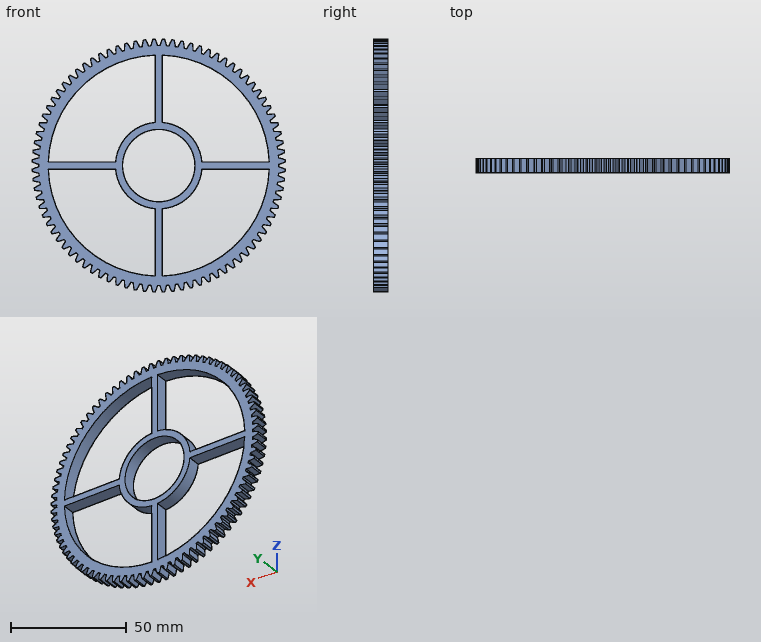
import cadquery as cq
import math

overall_size = 109.2
thickness = 6.3
tooth_count = 84
pressure_angle = math.radians(20)
addendum = 1.0
dedendum = 1.2
bore_diameter = 31.1
hub_diameter = 37.5
rim_inner_diameter = 95.2
spoke_count = 4
flank_steps = 4

spoke_width = (hub_diameter - bore_diameter) / 2


def involute(angle):
    """Polar angle swept by an involute up to a given pressure angle."""
    return math.tan(angle) - angle


def tooth_half_angle(radius_ratio):
    """Half the angle a tooth spans at a radius given as a multiple of the pitch radius."""
    local_pressure_angle = math.acos(math.cos(pressure_angle) / radius_ratio)
    pitch_half_angle = math.pi / (2 * tooth_count)
    return pitch_half_angle + involute(pressure_angle) - involute(local_pressure_angle)


pitch_angle = 2 * math.pi / tooth_count
tip_ratio = (tooth_count + 2 * addendum) / tooth_count
tip_corner_angle = pitch_angle / 2 - tooth_half_angle(tip_ratio)
tip_radius = overall_size / 2 / math.cos(tip_corner_angle)
pitch_radius = tip_radius / tip_ratio
module = 2 * pitch_radius / tooth_count
root_radius = pitch_radius - dedendum * module


def polar(radius, angle):
    """Point in the gear plane at a radius and an angle from the X axis."""
    return (radius * math.cos(angle), radius * math.sin(angle))


def flank_points(tooth_angle, side):
    """Points up one involute flank from root to tip; side is -1 or +1."""
    points = []
    for step in range(flank_steps + 1):
        radius = root_radius + (tip_radius - root_radius) * step / flank_steps
        half_angle = tooth_half_angle(radius / pitch_radius)
        points.append(polar(radius, tooth_angle + side * half_angle))
    return points


def face_plane():
    """Sketch plane on the -Y face; a negative extrusion runs toward +Y."""
    return cq.Workplane("XZ", origin=(0, -thickness / 2, 0))


def disc(diameter):
    return face_plane().circle(diameter / 2).extrude(-thickness)


def gear_blank():
    """Solid disc with involute teeth around its edge."""
    first_tooth_angle = pitch_angle / 2
    outline = face_plane().moveTo(*flank_points(first_tooth_angle, -1)[0])
    for tooth in range(tooth_count):
        tooth_angle = first_tooth_angle + tooth * pitch_angle
        rising = flank_points(tooth_angle, -1)
        falling = flank_points(tooth_angle, 1)[::-1]
        outline = outline.spline(rising[1:], includeCurrent=True)
        outline = outline.threePointArc(polar(tip_radius, tooth_angle), falling[0])
        outline = outline.spline(falling[1:], includeCurrent=True)
        next_root = flank_points(tooth_angle + pitch_angle, -1)[0]
        gap_angle = tooth_angle + pitch_angle / 2
        outline = outline.threePointArc(polar(root_radius, gap_angle), next_root)
    return outline.close().extrude(-thickness)


def spokes():
    """Bars from the centre, running into the middle of the rim wall."""
    length = (rim_inner_diameter / 2 + root_radius) / 2
    bar = cq.Workplane("XY").box(length, thickness, spoke_width).translate((length / 2, 0, 0))
    bars = cq.Workplane("XY")
    for index in range(spoke_count):
        bars = bars.add(bar.rotate((0, 0, 0), (0, 1, 0), index * 360 / spoke_count))
    return bars.combine()


rim = gear_blank().cut(disc(rim_inner_diameter))
result = rim.union(spokes()).union(disc(hub_diameter)).cut(disc(bore_diameter))